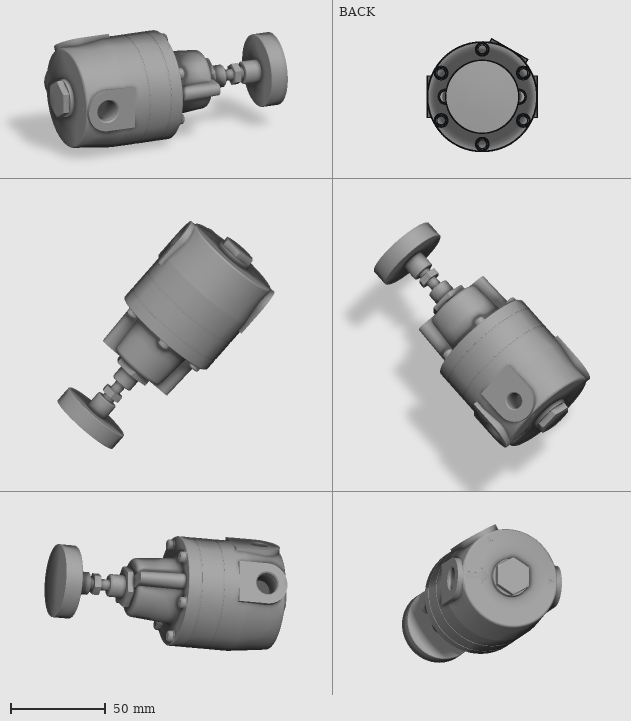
import math

import cadquery as cq


TOTAL_LENGTH = 126.0

BODY_DIA = 58.0
BODY_R = BODY_DIA / 2
BODY_FACE_R = 26.5
BODY_EDGE_FILLET = 1.2
TAPER_END_Y = 21.7
BODY_TOP_Y = 26.8
STACK_TOP_Y = 54.5
STACK_EDGE_CHAMFER = 0.3
JOINT_WIDTH = 1.1
JOINT_DEPTH = 0.2
JOINT_STARTS_Y = (34.7, 47.0)

PAD_WIDTH = 22.0
PAD_R = PAD_WIDTH / 2
PORT_Y = 11.2
PAD_INNER_RADIUS = 15.0
PORT_DEPTH = 15.0
MAIN_PORT_DIA = 11.45
MAIN_PORT_CHAMFER = 0.7
GAUGE_PORT_DIA = 8.57
GAUGE_PORT_CHAMFER = 0.5
INLET_ANGLE = 180.0
OUTLET_ANGLE = 0.0
GAUGE_ANGLE = 120.0

MARK_DEPTH = 0.2
ARROW_TAIL_X = -24.2
ARROW_NECK_X = -16.1
ARROW_TIP_X = -11.4
ARROW_SHAFT_HALF = 1.65
ARROW_HEAD_HALF = 4.35
TRIANGLE_BASE_RADIUS = 21.5
TRIANGLE_HEIGHT = 2.8
TRIANGLE_HALF = 1.5

PLUG_COLLAR_DIA = 20.8
PLUG_COLLAR_TIP_DIA = 19.8
PLUG_COLLAR_HEIGHT = 1.9
PLUG_NECK_DIA = 17.0
PLUG_HEX_FLATS = 17.4
PLUG_HEX_TOP_Y = -2.2
PLUG_HEX_HEIGHT = 3.4
PLUG_TIP_CHAMFER_HEIGHT = 0.25
PLUG_TIP_Y = PLUG_HEX_TOP_Y - PLUG_HEX_HEIGHT

BONNET_BASE_R = 17.3
BONNET_SHOULDER_R = 15.6
BONNET_SHOULDER_Y = 75.8
BONNET_TOP_Y = 78.1
BONNET_TOP_FILLET = 2.3
BONNET_BASE_FILLET = 1.8
RIB_TOP_Y = 79.1
RIB_CENTER_X = 19.2
RIB_BASE_WIDTH = 8.1
RIB_TOP_WIDTH = 6.5

SCREW_COUNT = 6
SCREW_CIRCLE_R = 25.0
SCREW_START_ANGLE = 30.0
SCREW_DIA = 6.0
SCREW_TOP_Y = 57.6
SCREW_CHAMFER = 0.7
SCREW_SEAT_DIA = 7.2
SCREW_SEAT_HEIGHT = 0.4

NECK_DIA = 17.0
PANEL_NUT_FLATS = 19.2
PANEL_NUT_Y = RIB_TOP_Y
PANEL_NUT_HEIGHT = 3.1
PANEL_NUT_CHAMFER = 0.5
BUSH_DIA = 12.0
BUSH_TOP_Y = 90.2
BUSH_CHAMFER = 0.6
STEM_DIA = 6.0
LOCK_NUT_FLATS = 10.2
LOCK_NUT_Y = 95.4
LOCK_NUT_HEIGHT = 3.6
COLLAR_DIA = 7.0
COLLAR_BOTTOM_Y = 99.5
COLLAR_TOP_Y = 101.0
HUB_DIA = 12.0
HUB_BOTTOM_Y = 101.4
HUB_CHAMFER = 0.3
WHEEL_DIA = 38.7
WHEEL_BOTTOM_Y = 110.1
WHEEL_RIM_TOP_Y = 119.3
WHEEL_TOP_Y = TOTAL_LENGTH + PLUG_TIP_Y
WHEEL_EDGE_CHAMFER = 0.3


def plane_at(y):
    """Plane normal to the part axis, facing +Y, with local axes along +X and -Z."""
    return cq.Workplane(cq.Plane(origin=(0, y, 0), xDir=(1, 0, 0), normal=(0, 1, 0)))


def disc(diameter, y_bottom, y_top):
    return plane_at(y_bottom).circle(diameter / 2).extrude(y_top - y_bottom)


def corner_diameter(flats):
    """Diameter across the corners of a hexagon of given width across flats."""
    return flats / math.cos(math.pi / 6)


def hexagon(flats, y_bottom, height):
    """Hexagonal prism with two corners on the Z axis."""
    prism = plane_at(y_bottom).polygon(6, corner_diameter(flats)).extrude(height)
    return prism.rotate((0, 0, 0), (0, 1, 0), 30)


def turn_to(shape, angle):
    """Swing a shape from +X towards +Z about the part axis."""
    return shape.rotate((0, 0, 0), (0, 1, 0), -angle)


def spin(profile):
    """Revolve a radius-against-Y outline about the part axis."""
    return profile.close().revolve(360, (0, 0, 0), (0, 1, 0))


def make_body():
    body = spin(
        cq.Workplane("XY")
        .lineTo(BODY_FACE_R, 0)
        .lineTo(BODY_R, TAPER_END_Y)
        .lineTo(BODY_R, STACK_TOP_Y)
        .lineTo(0, STACK_TOP_Y)
    )
    body = body.faces("<Y").edges().fillet(BODY_EDGE_FILLET)
    body = body.faces(">Y").edges().chamfer(STACK_EDGE_CHAMFER)
    for y in JOINT_STARTS_Y:
        core = disc(BODY_DIA - 2 * JOINT_DEPTH, y, y + JOINT_WIDTH)
        body = body.cut(disc(BODY_DIA, y, y + JOINT_WIDTH).cut(core))
    return body


def make_pad(angle):
    pad = (
        cq.Workplane("YZ", origin=(PAD_INNER_RADIUS, 0, 0))
        .moveTo(BODY_TOP_Y, -PAD_R)
        .lineTo(PORT_Y, -PAD_R)
        .threePointArc((PORT_Y - PAD_R, 0), (PORT_Y, PAD_R))
        .lineTo(BODY_TOP_Y, PAD_R)
        .close()
        .extrude(BODY_R - PAD_INNER_RADIUS)
    )
    return turn_to(pad, angle)


def make_port(diameter, chamfer, angle):
    """Blind hole with a countersunk mouth."""
    radius = diameter / 2
    port = (
        cq.Workplane("XY")
        .moveTo(BODY_R - PORT_DEPTH, PORT_Y)
        .lineTo(BODY_R - PORT_DEPTH, PORT_Y + radius)
        .lineTo(BODY_R - chamfer, PORT_Y + radius)
        .lineTo(BODY_R, PORT_Y + radius + chamfer)
        .lineTo(BODY_R, PORT_Y)
        .close()
        .revolve(360, (0, PORT_Y, 0), (1, PORT_Y, 0))
    )
    return turn_to(port, angle)


def make_arrow():
    return (
        plane_at(0)
        .moveTo(ARROW_TAIL_X, -ARROW_SHAFT_HALF)
        .lineTo(ARROW_NECK_X, -ARROW_SHAFT_HALF)
        .lineTo(ARROW_NECK_X, -ARROW_HEAD_HALF)
        .lineTo(ARROW_TIP_X, 0)
        .lineTo(ARROW_NECK_X, ARROW_HEAD_HALF)
        .lineTo(ARROW_NECK_X, ARROW_SHAFT_HALF)
        .lineTo(ARROW_TAIL_X, ARROW_SHAFT_HALF)
        .close()
        .extrude(MARK_DEPTH)
    )


def make_triangle(angle):
    triangle = (
        plane_at(0)
        .moveTo(TRIANGLE_BASE_RADIUS, -TRIANGLE_HALF)
        .lineTo(TRIANGLE_BASE_RADIUS + TRIANGLE_HEIGHT, 0)
        .lineTo(TRIANGLE_BASE_RADIUS, TRIANGLE_HALF)
        .close()
        .extrude(MARK_DEPTH)
    )
    return turn_to(triangle, angle)


def make_plug_hex():
    """Plug hexagon whose tip corners are turned down to a circle touching the flats."""
    corner_r = corner_diameter(PLUG_HEX_FLATS) / 2
    turned = spin(
        cq.Workplane("XY")
        .moveTo(0, PLUG_TIP_Y)
        .lineTo(PLUG_HEX_FLATS / 2, PLUG_TIP_Y)
        .lineTo(corner_r, PLUG_TIP_Y + PLUG_TIP_CHAMFER_HEIGHT)
        .lineTo(corner_r, PLUG_HEX_TOP_Y)
        .lineTo(0, PLUG_HEX_TOP_Y)
    )
    return hexagon(PLUG_HEX_FLATS, PLUG_TIP_Y, PLUG_HEX_HEIGHT).intersect(turned)


def make_plug():
    collar = spin(
        cq.Workplane("XY")
        .lineTo(PLUG_COLLAR_DIA / 2, 0)
        .lineTo(PLUG_COLLAR_TIP_DIA / 2, -PLUG_COLLAR_HEIGHT)
        .lineTo(0, -PLUG_COLLAR_HEIGHT)
    )
    neck = disc(PLUG_NECK_DIA, PLUG_HEX_TOP_Y, -PLUG_COLLAR_HEIGHT)
    return collar.union(neck).union(make_plug_hex())


def make_bonnet():
    """Tapered cup with a rounded top edge and a flared foot."""
    return spin(
        cq.Workplane("XY")
        .moveTo(0, STACK_TOP_Y)
        .lineTo(BONNET_BASE_R + BONNET_BASE_FILLET, STACK_TOP_Y)
        .radiusArc((BONNET_BASE_R, STACK_TOP_Y + BONNET_BASE_FILLET), BONNET_BASE_FILLET)
        .lineTo(BONNET_SHOULDER_R, BONNET_SHOULDER_Y)
        .radiusArc((BONNET_SHOULDER_R - BONNET_TOP_FILLET, BONNET_TOP_Y), -BONNET_TOP_FILLET)
        .lineTo(0, BONNET_TOP_Y)
    )


def make_ribs():
    """One drafted web across the axis whose rounded ends form the two outer ribs."""
    return (
        plane_at(STACK_TOP_Y)
        .slot2D(2 * RIB_CENTER_X + RIB_BASE_WIDTH, RIB_BASE_WIDTH)
        .workplane(offset=RIB_TOP_Y - STACK_TOP_Y)
        .slot2D(2 * RIB_CENTER_X + RIB_TOP_WIDTH, RIB_TOP_WIDTH)
        .loft(ruled=True)
    )


def make_screw(angle):
    seat = disc(SCREW_SEAT_DIA, STACK_TOP_Y, STACK_TOP_Y + SCREW_SEAT_HEIGHT)
    head = disc(SCREW_DIA, STACK_TOP_Y, SCREW_TOP_Y).faces(">Y").edges().chamfer(SCREW_CHAMFER)
    return turn_to(seat.union(head).translate((SCREW_CIRCLE_R, 0, 0)), angle)


def make_panel_nut():
    """Hex nut whose corners are turned down at both ends."""
    turned = disc(corner_diameter(PANEL_NUT_FLATS), PANEL_NUT_Y, PANEL_NUT_Y + PANEL_NUT_HEIGHT)
    turned = turned.faces("<Y or >Y").edges().chamfer(PANEL_NUT_CHAMFER)
    return hexagon(PANEL_NUT_FLATS, PANEL_NUT_Y, PANEL_NUT_HEIGHT).intersect(turned)


def make_spindle():
    neck = disc(NECK_DIA, BONNET_TOP_Y, PANEL_NUT_Y)
    bush = disc(BUSH_DIA, PANEL_NUT_Y, BUSH_TOP_Y).faces(">Y").edges().chamfer(BUSH_CHAMFER)
    stem = disc(STEM_DIA, BUSH_TOP_Y, HUB_BOTTOM_Y)
    lock_nut = hexagon(LOCK_NUT_FLATS, LOCK_NUT_Y, LOCK_NUT_HEIGHT)
    collar = disc(COLLAR_DIA, COLLAR_BOTTOM_Y, COLLAR_TOP_Y)
    return neck.union(make_panel_nut()).union(bush).union(stem).union(lock_nut).union(collar)


def make_handwheel():
    """Plain-rimmed wheel with a shallow domed outer face, on a round hub."""
    wheel_r = WHEEL_DIA / 2
    dome_rise = WHEEL_TOP_Y - WHEEL_RIM_TOP_Y
    dome_r = (wheel_r ** 2 + dome_rise ** 2) / (2 * dome_rise)
    wheel = spin(
        cq.Workplane("XY")
        .moveTo(0, WHEEL_BOTTOM_Y)
        .lineTo(wheel_r - WHEEL_EDGE_CHAMFER, WHEEL_BOTTOM_Y)
        .lineTo(wheel_r, WHEEL_BOTTOM_Y + WHEEL_EDGE_CHAMFER)
        .lineTo(wheel_r, WHEEL_RIM_TOP_Y)
        .radiusArc((0, WHEEL_TOP_Y), -dome_r)
    )
    hub = disc(HUB_DIA, HUB_BOTTOM_Y, WHEEL_BOTTOM_Y).faces("<Y").edges().chamfer(HUB_CHAMFER)
    return wheel.union(hub)


result = make_body()
for pad_angle in (INLET_ANGLE, OUTLET_ANGLE, GAUGE_ANGLE):
    result = result.union(make_pad(pad_angle))

result = result.cut(make_port(MAIN_PORT_DIA, MAIN_PORT_CHAMFER, INLET_ANGLE))
result = result.cut(make_port(MAIN_PORT_DIA, MAIN_PORT_CHAMFER, OUTLET_ANGLE))
result = result.cut(make_port(GAUGE_PORT_DIA, GAUGE_PORT_CHAMFER, GAUGE_ANGLE))

result = result.cut(make_arrow())
for mark_angle in (OUTLET_ANGLE, GAUGE_ANGLE):
    result = result.cut(make_triangle(mark_angle))

result = result.union(make_plug()).union(make_bonnet()).union(make_ribs())
for screw_index in range(SCREW_COUNT):
    result = result.union(make_screw(SCREW_START_ANGLE + screw_index * 360 / SCREW_COUNT))

result = result.union(make_spindle()).union(make_handwheel())